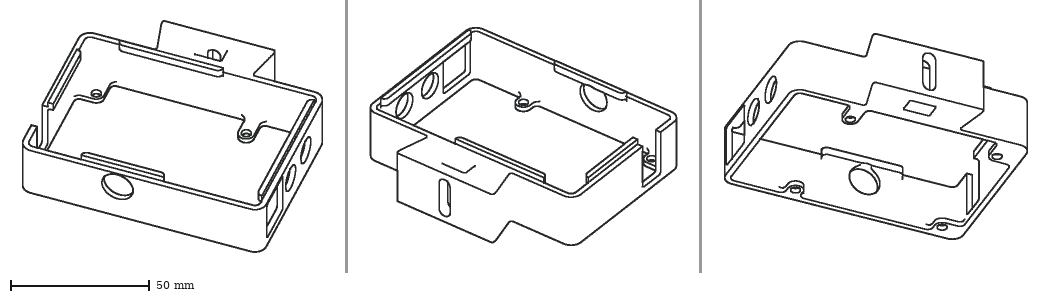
import cadquery as cq
import math

LENGTH = 94.0
DEPTH = 65.0
WALL_HEIGHT = 21.4
WALL = 2.3
CORNER_RADIUS = 4.4
FILLET = 1.0

TOTAL_HEIGHT = 23.6
LIP_THICKNESS = 2.1
LIP_BOTTOM = 20.5
LIP_END_RADIUS = 2.1
FRONT_LIP_START = 23.1
BACK_LIP_START = 15.0
LONG_LIP_END = 55.2
LEFT_LIP_END = 52.9
RIGHT_LIP_START = 5.8
RIGHT_LIP_END = 58.9

LUG_X = (9.0, 67.0)
FRONT_LUG_Y = 5.8
LUG_SPACING_Y = 49.0
LUG_RADIUS = 3.0
LUG_HOLE_DIAMETER = 3.6
LUG_THICKNESS = 2.0
LUG_SIDE_FILLET = 2.0
LUG_TOP_FILLET = 0.5

SLOT_START = 12.5
SLOT_END = 23.4
SLOT_BOTTOM = 2.9
FRONT_HOLE_X = 38.1
FRONT_HOLE_Z = 14.85
FRONT_HOLE_DIAMETER = 12.0
SIDE_HOLE_Y = (29.1, 44.6)
SIDE_HOLE_Z = 12.0
SIDE_HOLE_DIAMETER = 10.0
PORT_START = 5.0
PORT_END = 21.15
PORT_BOTTOM = 3.7

BLOCK_CENTER_X = LENGTH / 2
BLOCK_WIDTH = 43.4
BLOCK_BACK = 80.0
BLOCK_EDGE = 2.0
BLOCK_FLARE_DEGREES = 14.0
BLOCK_CORNER_RADIUS = 0.75
WINDOW_LENGTH = 10.3
WINDOW_WIDTH = 6.3
WINDOW_Y = 71.5
WINDOW_CORNER_RADIUS = 0.5
WINDOW_RIM_RADIUS = 1.1
STRAP_SLOT_WIDTH = 5.0
STRAP_SLOT_TOP = 18.8

LUG_BLANK_HEIGHT = LUG_THICKNESS + LUG_TOP_FILLET
BACK_LUG_Y = FRONT_LUG_Y + LUG_SPACING_Y
INNER_BACK = DEPTH - WALL
INNER_RIGHT = LENGTH - WALL


def block(x0, x1, y0, y1, z0, z1):
    """Box given by its limits along each axis."""
    return cq.Workplane("XY").box(x1 - x0, y1 - y0, z1 - z0, centered=False).translate((x0, y0, z0))


def lip(length, round_far_end=True):
    """Lip along +X on a wall whose inner face is Y = 0, overhanging towards +Y.

    A tongue on the -Y side embeds it in the wall, and a fillet supports its underside.
    """
    root = LIP_BOTTOM - FILLET
    tongue_top = (LIP_BOTTOM + WALL_HEIGHT) / 2
    bar = (
        cq.Workplane("YZ")
        .moveTo(-WALL / 2, root)
        .lineTo(0, root)
        .radiusArc((FILLET, LIP_BOTTOM), FILLET)
        .lineTo(LIP_THICKNESS, LIP_BOTTOM)
        .lineTo(LIP_THICKNESS, TOTAL_HEIGHT)
        .lineTo(0, TOTAL_HEIGHT)
        .lineTo(0, tongue_top)
        .lineTo(-WALL / 2, tongue_top)
        .close()
        .extrude(length)
    )
    footprint = block(0, length, -WALL, LIP_THICKNESS, 0, TOTAL_HEIGHT)
    footprint = footprint.edges("|Z and >Y and <X").fillet(LIP_END_RADIUS)
    if round_far_end:
        footprint = footprint.edges("|Z and >Y and >X").fillet(LIP_END_RADIUS)
    return bar.intersect(footprint)


def place_lip(shape, x, y, degrees):
    """Turn a lip about Z and move its start to (x, y)."""
    return shape.rotate((0, 0, 0), (0, 0, 1), degrees).translate((x, y, 0))


def lug(x, y, wall_y, side_reach):
    """Blank for a lug with a rounded tip at (x, y), running to Y = wall_y and side_reach towards -X."""
    tip = cq.Workplane("XY").center(x, y).circle(LUG_RADIUS).extrude(LUG_BLANK_HEIGHT)
    stem = block(x - LUG_RADIUS, x + LUG_RADIUS, min(y, wall_y), max(y, wall_y), 0, LUG_BLANK_HEIGHT)
    if side_reach <= LUG_RADIUS:
        return tip.union(stem)
    tip_y = y + math.copysign(LUG_RADIUS, y - wall_y)
    side = block(x - side_reach, x, min(tip_y, wall_y), max(tip_y, wall_y), 0, LUG_BLANK_HEIGHT)
    return tip.union(stem).union(side)


outer = block(0, LENGTH, 0, DEPTH, 0, WALL_HEIGHT).edges("|Z").fillet(CORNER_RADIUS)
cavity = (
    block(WALL, INNER_RIGHT, WALL, INNER_BACK, 0, WALL_HEIGHT)
    .edges("|Z")
    .fillet(CORNER_RADIUS - WALL)
)
frame = outer.cut(cavity)

corner_lug_x, mid_lug_x = LUG_X
joints = []
for lug_y, wall_y, face_y, tip_y in (
    (FRONT_LUG_Y, WALL / 2, WALL, FRONT_LUG_Y + LUG_RADIUS),
    (BACK_LUG_Y, DEPTH - WALL / 2, INNER_BACK, BACK_LUG_Y - LUG_RADIUS),
):
    corner_lug = lug(corner_lug_x, lug_y, wall_y, corner_lug_x - WALL / 2)
    mid_lug = lug(mid_lug_x, lug_y, wall_y, LUG_RADIUS)
    frame = frame.union(corner_lug.intersect(outer)).union(mid_lug)
    joints.append((WALL, tip_y))
    for joint_x in (corner_lug_x + LUG_RADIUS, mid_lug_x - LUG_RADIUS, mid_lug_x + LUG_RADIUS):
        joints.append((joint_x, face_y))
for joint_x, joint_y in joints:
    joint = cq.selectors.NearestToPointSelector((joint_x, joint_y, LUG_BLANK_HEIGHT / 2))
    frame = frame.edges(joint).fillet(LUG_SIDE_FILLET)

room = cavity.translate((0, 0, LUG_THICKNESS)).faces("<Z").edges().fillet(LUG_TOP_FILLET)
lug_holes = (
    cq.Workplane("XY")
    .pushPoints([(x, y) for x in LUG_X for y in (FRONT_LUG_Y, BACK_LUG_Y)])
    .circle(LUG_HOLE_DIAMETER / 2)
    .extrude(LUG_BLANK_HEIGHT)
)
frame = frame.cut(room).cut(lug_holes)

flare_rise = BLOCK_BACK - BLOCK_EDGE - DEPTH
half_width = BLOCK_WIDTH / 2
half_root = half_width - flare_rise * math.tan(math.radians(BLOCK_FLARE_DEGREES))
dovetail = (
    cq.Workplane("XY")
    .polyline(
        [
            (-half_root, INNER_BACK),
            (-half_root, DEPTH),
            (-half_width, DEPTH + flare_rise),
            (-half_width, BLOCK_BACK),
            (half_width, BLOCK_BACK),
            (half_width, DEPTH + flare_rise),
            (half_root, DEPTH),
            (half_root, INNER_BACK),
        ]
    )
    .close()
    .extrude(WALL_HEIGHT)
    .edges("|Z and >Y")
    .fillet(BLOCK_CORNER_RADIUS)
    .translate((BLOCK_CENTER_X, 0, 0))
)
frame = frame.union(dovetail)
for side in (-1, 1):
    root = cq.selectors.NearestToPointSelector((BLOCK_CENTER_X + side * half_root, DEPTH, WALL_HEIGHT / 2))
    frame = frame.edges(root).fillet(FILLET)

window = (
    cq.Workplane("XY")
    .center(BLOCK_CENTER_X, WINDOW_Y)
    .rect(WINDOW_LENGTH, WINDOW_WIDTH)
    .extrude(WALL_HEIGHT)
    .edges("|Z")
    .fillet(WINDOW_CORNER_RADIUS)
)
frame = frame.cut(window)
rim = cq.selectors.BoxSelector(
    (BLOCK_CENTER_X - WINDOW_LENGTH, WINDOW_Y - WINDOW_WIDTH, WALL_HEIGHT - WINDOW_RIM_RADIUS),
    (BLOCK_CENTER_X + WINDOW_LENGTH, WINDOW_Y + WINDOW_WIDTH, WALL_HEIGHT + WINDOW_RIM_RADIUS),
)
frame = frame.faces(">Z").edges(rim).fillet(WINDOW_RIM_RADIUS)

strap_slot = (
    cq.Workplane("XZ", origin=(BLOCK_CENTER_X, BLOCK_BACK, WALL_HEIGHT / 2))
    .slot2D(2 * STRAP_SLOT_TOP - WALL_HEIGHT, STRAP_SLOT_WIDTH, 90)
    .extrude(BLOCK_BACK - WINDOW_Y)
)
frame = frame.cut(strap_slot)

front_lip = lip(LONG_LIP_END - FRONT_LIP_START)
back_lip = lip(LONG_LIP_END - BACK_LIP_START)
right_lip = lip(RIGHT_LIP_END - RIGHT_LIP_START)
left_lip = lip(LEFT_LIP_END - SLOT_END, round_far_end=False)
frame = (
    frame.union(place_lip(front_lip, FRONT_LIP_START, WALL, 0))
    .union(place_lip(back_lip, LONG_LIP_END, INNER_BACK, 180))
    .union(place_lip(right_lip, INNER_RIGHT, RIGHT_LIP_START, 90))
    .union(place_lip(left_lip, WALL, LEFT_LIP_END, -90))
)

slot = block(0, WALL, SLOT_START, SLOT_END, SLOT_BOTTOM, WALL_HEIGHT).edges("|X and <Z").fillet(FILLET)

opening_depth = WALL + LIP_THICKNESS

front_hole = (
    cq.Workplane("XZ", origin=(FRONT_HOLE_X, opening_depth, FRONT_HOLE_Z))
    .circle(FRONT_HOLE_DIAMETER / 2)
    .extrude(opening_depth)
)

side_holes = (
    cq.Workplane("YZ", origin=(LENGTH - opening_depth, 0, 0))
    .pushPoints([(y, SIDE_HOLE_Z) for y in SIDE_HOLE_Y])
    .circle(SIDE_HOLE_DIAMETER / 2)
    .extrude(opening_depth)
)
port = (
    block(LENGTH - opening_depth, LENGTH, PORT_START, PORT_END, PORT_BOTTOM, LIP_BOTTOM)
    .edges("|X")
    .fillet(FILLET)
)
result = frame.cut(slot).cut(front_hole).cut(side_holes).cut(port)